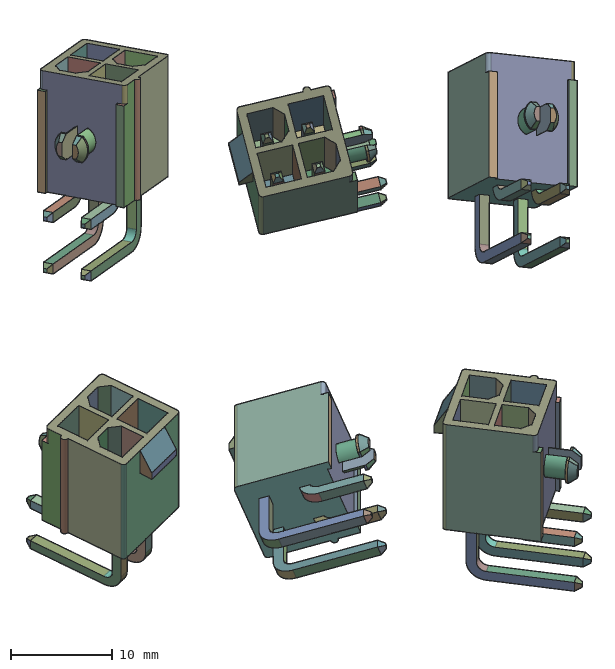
import cadquery as cq
import math


housing_width = 9.6
housing_depth = 9.59
housing_height = 12.8
corner_radius = 0.4
front_y = -housing_depth / 2
back_y = housing_depth / 2
side_x = housing_width / 2

pitch = 4.2
cavity_size = 3.6
cavity_depth = 9.96
key_chamfer = 0.94
columns = (-pitch / 2, pitch / 2)
rows = (-pitch / 2, pitch / 2)

pin_size = 1.08
pin_tip_size = 0.4
pin_tip_length = 0.7
pin_row_shift = 0.22
pin_reach = 4.0
contact_recess = 2.99
bend_inner_radius = 1.0
upper_tail_drop = 1.14
tail_spacing = 5.46

rail_width = 0.9
rail_projection = 0.4
rail_top_drop = 2.0
rail_height = housing_height - rail_top_drop

latch_width = 4.2
latch_projection = 1.42
latch_ramp_drop = 2.3
latch_tip_drop = 3.17
latch_root_drop = 3.09
latch_overlap = 0.4

rib_radius = 0.4
rib_y = -2.43

peg_z = 6.22
peg_head_radius = 1.81
peg_end_radius = 1.22
peg_head_start = 2.2
peg_cone_start = 2.43
peg_length = 3.29
peg_height = 2.75
peg_end_height = 1.47
peg_slot_width = 1.14
peg_shank_radius = math.hypot(peg_slot_width / 2, peg_height / 2)


def make_housing():
    """Block with rounded upright corners."""
    block = cq.Workplane("XY").box(housing_width, housing_depth, housing_height, centered=(True, True, False))
    return block.edges("|Z").fillet(corner_radius)


def make_cavity(x, y, keyed):
    """Square cavity; a keyed one has its two front corners cut off."""
    cavity = (
        cq.Workplane("XY", origin=(x, y, housing_height - cavity_depth))
        .rect(cavity_size, cavity_size)
        .extrude(cavity_depth)
    )
    if keyed:
        cavity = cavity.faces("<Y").edges("|Z").chamfer(key_chamfer)
    return cavity


def make_rail(side):
    """Upright rail covering the rounded front corner; side is -1 or 1."""
    thickness = corner_radius + rail_projection
    center_x = side * (side_x - rail_width / 2)
    center_y = front_y - rail_projection + thickness / 2
    return cq.Workplane("XY", origin=(center_x, center_y, 0)).rect(rail_width, thickness).extrude(rail_height)


def make_latch():
    """Hooked ramp descending from the top back edge."""
    tip_y = back_y + latch_projection
    root_y = back_y - latch_overlap
    return (
        cq.Workplane("YZ")
        .moveTo(root_y, housing_height)
        .lineTo(back_y, housing_height)
        .lineTo(tip_y, housing_height - latch_ramp_drop)
        .lineTo(tip_y, housing_height - latch_tip_drop)
        .lineTo(back_y, housing_height - latch_root_drop)
        .lineTo(root_y, housing_height - latch_root_drop)
        .close()
        .extrude(latch_width / 2, both=True)
    )


def make_rib():
    """Full-height half-round rib."""
    return cq.Workplane("XY", origin=(side_x, rib_y, 0)).circle(rib_radius).extrude(housing_height)


def make_peg():
    """Round peg with a conical snap head flattened above and below, split by an upright slot."""
    turned = (
        cq.Workplane("XY")
        .polyline([
            (0, front_y),
            (peg_shank_radius, front_y),
            (peg_shank_radius, front_y - peg_head_start),
            (peg_head_radius, front_y - peg_head_start),
            (peg_head_radius, front_y - peg_cone_start),
            (peg_end_radius, front_y - peg_length),
            (0, front_y - peg_length),
        ])
        .close()
        .revolve(360, (0, 0, 0), (0, 1, 0))
    )
    side_profile = (
        cq.Workplane("YZ")
        .polyline([
            (front_y, peg_height / 2),
            (front_y - peg_cone_start, peg_height / 2),
            (front_y - peg_length, peg_end_height / 2),
            (front_y - peg_length, -peg_end_height / 2),
            (front_y - peg_cone_start, -peg_height / 2),
            (front_y, -peg_height / 2),
        ])
        .close()
        .extrude(peg_head_radius, both=True)
    )
    slot = (
        cq.Workplane("XY", origin=(0, front_y - peg_length / 2, 0))
        .box(peg_slot_width, peg_length, peg_height)
    )
    return turned.intersect(side_profile).cut(slot).translate((0, 0, peg_z))


def make_pin_tip(base_plane):
    """Square tip tapering away from its base plane."""
    taper = math.degrees(math.atan((pin_size - pin_tip_size) / 2 / pin_tip_length))
    return cq.Workplane(base_plane).rect(pin_size, pin_size).extrude(pin_tip_length, taper=taper)


def make_pin(x, y, tail_z):
    """Square pin: a contact pointing up, a bend, and a tail pointing to the front."""
    contact_base_z = housing_height - contact_recess - pin_tip_length
    tail_base_y = front_y - pin_reach + pin_tip_length
    bend_radius = bend_inner_radius + pin_size / 2
    path = (
        cq.Workplane("YZ", origin=(x, 0, 0))
        .moveTo(y, contact_base_z)
        .lineTo(y, tail_z + bend_radius)
        .tangentArcPoint((y - bend_radius, tail_z), relative=False)
        .lineTo(tail_base_y, tail_z)
    )
    contact_plane = cq.Plane(origin=(x, y, contact_base_z))
    tail_plane = cq.Plane(origin=(x, tail_base_y, tail_z), xDir=(1, 0, 0), normal=(0, -1, 0))
    shaft = cq.Workplane(contact_plane).rect(pin_size, pin_size).sweep(path)
    return shaft.union(make_pin_tip(contact_plane)).union(make_pin_tip(tail_plane))


result = make_housing().union(make_latch()).union(make_rib()).union(make_peg())

for side in (-1, 1):
    result = result.union(make_rail(side))

for column, x in enumerate(columns):
    for row, y in enumerate(rows):
        result = result.cut(make_cavity(x, y, keyed=column == row))

for x in columns:
    for row, y in enumerate(rows):
        tail_z = -upper_tail_drop - row * tail_spacing
        result = result.union(make_pin(x, y + pin_row_shift, tail_z))